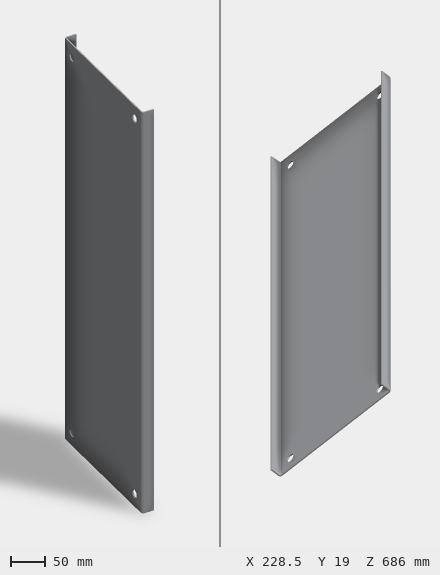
import cadquery as cq

width = 228.5
depth = 19.0
height = 686.0

thickness = 2.0
inner_bend_radius = 2.0
outer_bend_radius = inner_bend_radius + thickness

hole_diameter = 13.0
hole_spacing_x = 184.0
hole_end_distance = 22.0
hole_spacing_z = height - 2 * hole_end_distance


def bent_block(block_width, block_depth, bend_radius, front_y):
    """Upright block with its two front vertical edges rounded."""
    return (
        cq.Workplane("XY")
        .box(block_width, block_depth, height, centered=(True, False, True))
        .edges("|Z and <Y")
        .fillet(bend_radius)
        .translate((0, front_y, 0))
    )


front_y = -depth / 2
outer_block = bent_block(width, depth, outer_bend_radius, front_y)
inner_block = bent_block(width - 2 * thickness, depth, inner_bend_radius, front_y + thickness)
channel = outer_block.cut(inner_block)

holes = (
    cq.Workplane("XZ")
    .rarray(hole_spacing_x, hole_spacing_z, 2, 2)
    .circle(hole_diameter / 2)
    .extrude(depth, both=True)
)

result = channel.cut(holes)